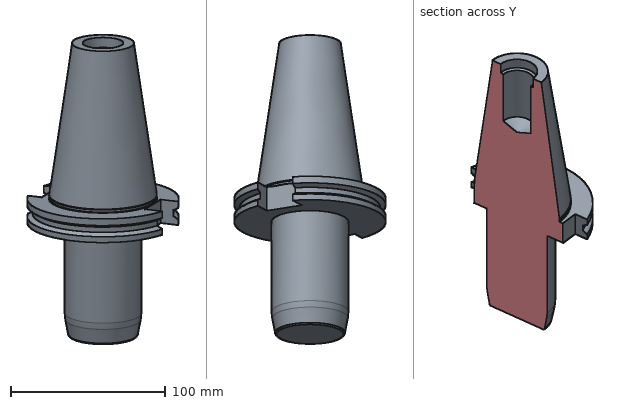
import cadquery as cq
import math

total_height = 196.6
taper_base_z = 94.5
flange_top_z = 92.0
flange_height = 16.0
flange_bottom_z = flange_top_z - flange_height

taper_base_diameter = 70.0
taper_ratio = 7 / 24
taper_length = total_height - taper_base_z
small_end_diameter = taper_base_diameter - taper_ratio * taper_length
relief_diameter = 69.4
relief_step = 0.5
relief_base_chamfer = 0.4

flange_diameter = 98.3
groove_diameter = 91.5
groove_center_z = 83.8
groove_floor_width = 3.5
groove_wall_angle = 30.0

slot_width = 25.5
left_slot_distance = 37.7
right_slot_distance = 35.2

body_diameter = 50.0
nose_angle = 10.5
blend_start_z = 15.3
blend_radius = 23.5
nose_chamfer = 1.0

pilot_diameter = 26.3
pilot_depth = 6.7
bore_diameter = 22.5
bore_depth = 44.5
drill_point_angle = 140.0


def make_body():
    """Revolve the outer outline, from the nose face up to the small end."""
    body_radius = body_diameter / 2
    flange_radius = flange_diameter / 2
    groove_radius = groove_diameter / 2
    relief_radius = relief_diameter / 2

    slope = math.radians(nose_angle)

    def blend_point(angle):
        radius = body_radius - blend_radius * (1 - math.cos(angle))
        return (radius, blend_start_z - blend_radius * math.sin(angle))

    blend_end = blend_point(slope)
    cone_end_radius = blend_end[0] - (blend_end[1] - nose_chamfer) * math.tan(slope)

    half_floor = groove_floor_width / 2
    wall_rise = (flange_radius - groove_radius) * math.tan(math.radians(groove_wall_angle))
    half_mouth = half_floor + wall_rise

    profile = (
        cq.Workplane("XZ")
        .moveTo(0, 0)
        .lineTo(cone_end_radius - nose_chamfer, 0)
        .lineTo(cone_end_radius, nose_chamfer)
        .lineTo(*blend_end)
        .threePointArc(blend_point(slope / 2), (body_radius, blend_start_z))
        .lineTo(body_radius, flange_bottom_z)
        .lineTo(flange_radius, flange_bottom_z)
        .lineTo(flange_radius, groove_center_z - half_mouth)
        .lineTo(groove_radius, groove_center_z - half_floor)
        .lineTo(groove_radius, groove_center_z + half_floor)
        .lineTo(flange_radius, groove_center_z + half_mouth)
        .lineTo(flange_radius, flange_top_z)
        .lineTo(relief_radius + relief_base_chamfer, flange_top_z)
        .lineTo(relief_radius, flange_top_z + relief_base_chamfer)
        .lineTo(relief_radius, taper_base_z - relief_step)
        .lineTo(taper_base_diameter / 2, taper_base_z)
        .lineTo(small_end_diameter / 2, total_height)
        .lineTo(0, total_height)
        .close()
    )
    return profile.revolve(360, (0, 0, 0), (0, 1, 0))


def make_drive_slot(side, distance):
    """Block that opens the flange outward in X; side is -1 or +1."""
    slot_length = flange_diameter / 2
    return (
        cq.Workplane("XY")
        .workplane(offset=flange_bottom_z)
        .center(side * (distance + slot_length / 2), 0)
        .rect(slot_length, slot_width)
        .extrude(flange_height)
    )


def make_retention_bore():
    """Pilot counterbore and blind bore, both ending in drill cones of one angle."""
    pilot_floor_z = total_height - pilot_depth
    bore_floor_z = total_height - bore_depth
    bore_radius = bore_diameter / 2
    pilot_radius = pilot_diameter / 2
    cone_slope = math.tan(math.radians(drill_point_angle / 2))
    point_depth = bore_radius / cone_slope
    ledge_depth = (pilot_radius - bore_radius) / cone_slope
    profile = (
        cq.Workplane("XZ")
        .moveTo(0, bore_floor_z - point_depth)
        .lineTo(bore_radius, bore_floor_z)
        .lineTo(bore_radius, pilot_floor_z - ledge_depth)
        .lineTo(pilot_radius, pilot_floor_z)
        .lineTo(pilot_radius, total_height)
        .lineTo(0, total_height)
        .close()
    )
    return profile.revolve(360, (0, 0, 0), (0, 1, 0))


result = (
    make_body()
    .cut(make_drive_slot(-1, left_slot_distance))
    .cut(make_drive_slot(1, right_slot_distance))
    .cut(make_retention_bore())
)